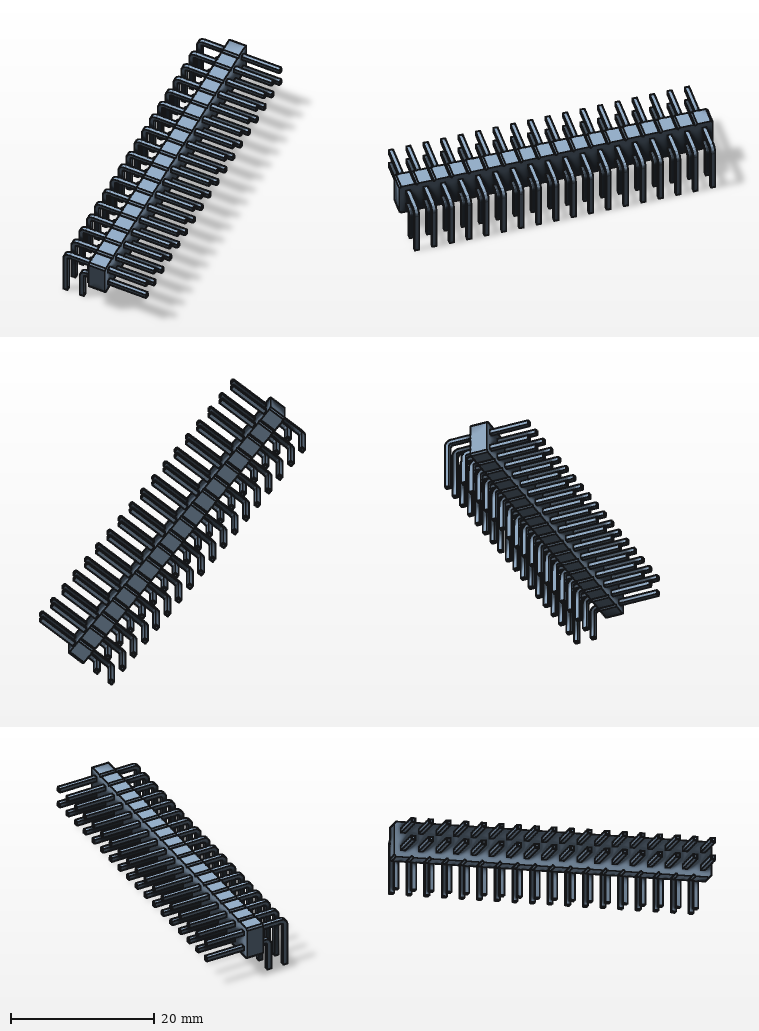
import cadquery as cq


total_length = 45.7
position_count = 18
row_count = 2
housing_chamfer = 0.27
pin_size = 0.65
bend_inner_radius = 0.3
tip_chamfer = 0.15
total_depth = 12.9
total_height = 8.75
mating_length = 6.0

pitch = total_length / position_count
housing_depth = pitch
housing_height = row_count * pitch
bend_outer_radius = bend_inner_radius + pin_size

housing_top = housing_height / 2
pin_bottom = housing_top - total_height
mating_end = housing_depth + mating_length
outer_tail_back = mating_end - total_depth


def make_cell():
    """One housing cell, centred on Y = 0, with its four edges along X chamfered."""
    return (
        cq.Workplane("XY")
        .box(housing_depth, pitch, housing_height)
        .translate((housing_depth / 2, 0, 0))
        .edges("|X")
        .chamfer(housing_chamfer)
    )


def make_pin(row):
    """One bent square pin, centred on Y = 0; row 0 is the top, outermost row."""
    back = outer_tail_back + row * pitch
    top = housing_top - (row + 0.5) * pitch + pin_size / 2
    front = back + pin_size
    under = top - pin_size
    return (
        cq.Workplane("XZ")
        .moveTo(back, pin_bottom)
        .lineTo(back, top - bend_outer_radius)
        .radiusArc((back + bend_outer_radius, top), bend_outer_radius)
        .lineTo(mating_end, top)
        .lineTo(mating_end, under)
        .lineTo(front + bend_inner_radius, under)
        .radiusArc((front, under - bend_inner_radius), -bend_inner_radius)
        .lineTo(front, pin_bottom)
        .close()
        .extrude(pin_size / 2, both=True)
        .faces(">X or <Z")
        .chamfer(tip_chamfer)
    )


def make_position():
    """One housing cell fused with its pair of pins."""
    position = make_cell()
    for row in range(row_count):
        position = position.union(make_pin(row))
    return position


single_position = make_position()
first_y = (pitch - total_length) / 2
result = single_position.translate((0, first_y, 0))
for index in range(1, position_count):
    result = result.union(single_position.translate((0, first_y + index * pitch, 0)))